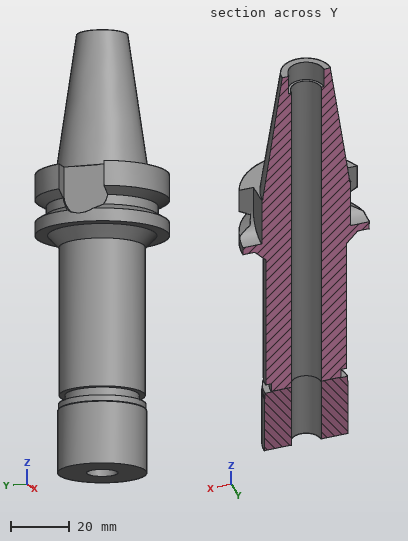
import cadquery as cq

total_height = 153.4
taper_length = 48.5
gauge_land = 0.6
nut_height = 24.0
body_bottom = 27.2
collar_bottom = 79.0
flange_bottom = 83.1
groove_floor_bottom = 89.9
groove_floor_top = 93.3
groove_flare = 2.3
taper_bottom = total_height - taper_length
flange_top = taper_bottom - gauge_land

flange_radius = 23.0
groove_radius = 19.2
collar_radius = 18.7
body_radius = 14.7
neck_radius = 12.7
nut_radius = 30.5 / 2
taper_top_radius = 17.6 / 2
taper_base_radius = 31.8 / 2

bore_radius = 5.4
counterbore_radius = 6.3
counterbore_depth = 7.2

slot_width = 16.3
slot_floor_x = 16.3
slot_bottom = 86.2

ring_radius = 15.0
ring_bottom = 22.0
ring_chamfer = 0.3


def disc(radius, bottom, top):
    return cq.Workplane("XY").workplane(offset=bottom).circle(radius).extrude(top - bottom)


def revolve_profile(profile):
    """Turn a closed (radius, height) outline around the Z axis."""
    return cq.Workplane("XZ").polyline(profile).close().revolve(360, (0, 0, 0), (0, 1, 0))


def holder_blank():
    """Taper, grooved flange, tool body and neck as one revolved profile."""
    profile = [
        (0, nut_height),
        (neck_radius, nut_height),
        (neck_radius, body_bottom),
        (body_radius, body_bottom),
        (body_radius, collar_bottom),
        (collar_radius, flange_bottom),
        (flange_radius, flange_bottom),
        (flange_radius, groove_floor_bottom - groove_flare),
        (groove_radius, groove_floor_bottom),
        (groove_radius, groove_floor_top),
        (flange_radius, groove_floor_top + groove_flare),
        (flange_radius, flange_top),
        (taper_base_radius, flange_top),
        (taper_base_radius, taper_bottom),
        (taper_top_radius, total_height),
        (0, total_height),
    ]
    return revolve_profile(profile)


def drive_slot(side):
    """Round-bottomed slot, open at the flange top; side is -1 or +1 along X."""
    half_width = slot_width / 2
    arc_center = slot_bottom + half_width
    return (
        cq.Workplane("YZ")
        .workplane(offset=side * slot_floor_x)
        .moveTo(-half_width, flange_top)
        .lineTo(-half_width, arc_center)
        .threePointArc((0, slot_bottom), (half_width, arc_center))
        .lineTo(half_width, flange_top)
        .close()
        .extrude(side * flange_radius)
    )


def make_holder():
    holder = holder_blank()
    for side in (-1, 1):
        holder = holder.cut(drive_slot(side))
    holder = holder.cut(disc(bore_radius, nut_height, total_height))
    return holder.cut(disc(counterbore_radius, total_height - counterbore_depth, total_height))


def make_nut():
    """Round nut that seats against the lower end of the holder neck."""
    profile = [
        (bore_radius, 0),
        (nut_radius, 0),
        (nut_radius, ring_bottom - ring_chamfer),
        (ring_radius, ring_bottom),
        (ring_radius, nut_height),
        (bore_radius, nut_height),
    ]
    return revolve_profile(profile)


holder = make_holder()
nut = make_nut()

result = cq.Compound.makeCompound([holder.val(), nut.val()])